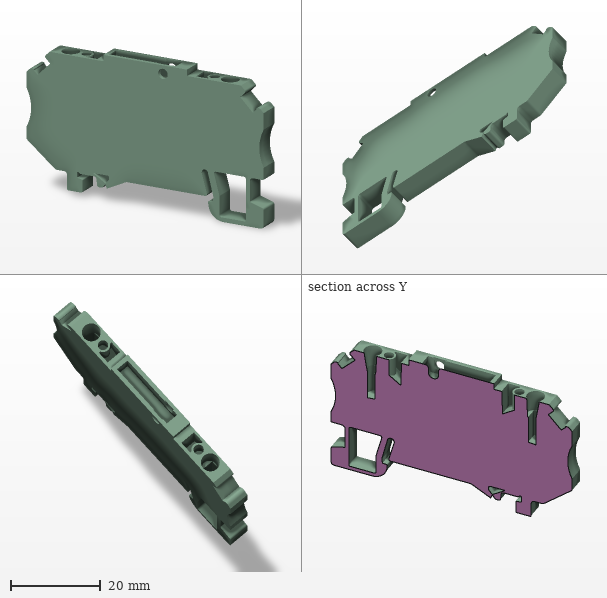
import cadquery as cq
import math


LENGTH = 60.0
THICKNESS = 5.0
HEIGHT = 34.5

MIRROR_X = LENGTH / 2
SHOULDER_Z = 33.0
RAISED_WIDTH = 21.2
BASE_Z = 5.42
GRIP_RADIUS = 9.75
GRIP_Z = 19.0
GRIP_DEPTH = 1.1

PIN_HOLE_DIAMETER = 2.4
PIN_X = 34.5
PIN_Z = 32.5
WINDOW_LEFT = 20.45
WINDOW_WIDTH = 3.06
WINDOW_RIGHT = 37.3
WINDOW_END_RADIUS = 3.0
WINDOW_FLOOR_Z = 30.4
LEAD_IN_WIDTH = 3.46
LEAD_IN_FLARE = 0.8

OPENING_Y = 0.1
WIRE_OFFSET = 20.2
WIRE_MOUTH_RADIUS = 2.1
WIRE_THROAT_RADIUS = 1.75
WIRE_THROAT_SHIFT = 0.3
FUNNEL_DEPTH = 5.0
WIRE_DEPTH = 12.0
WIRE_OUTER_WALL = 1.55
WIRE_INNER_WALL = 1.1
WIRE_WIDTH = 2.95
WIRE_FLOOR_TILT = 5.0
TEST_OFFSET = 16.22
TEST_DIAMETER = 2.3
TEST_DEPTH = 4.0
VALLEY_OUTER_TILT = 25.0
VALLEY_INNER_TILT = 40.0
COLLAR_RADIUS = 1.6
TOOL_NEAR = 12.5
TOOL_FAR = 15.5
TOOL_TAPER = 0.2
TOOL_WIDTH = 3.72
TOOL_DEPTH = 6.0
FLOOR_TILT = 33.0


def rounded_outline(corners):
    """Closed XZ outline through (x, z, radius) corners, each rounded by a tangent arc."""
    path = None
    count = len(corners)
    for index, (x, z, radius) in enumerate(corners):
        corner = cq.Vector(x, z, 0)
        before = cq.Vector(*corners[index - 1][:2], 0)
        after = cq.Vector(*corners[(index + 1) % count][:2], 0)
        to_before = (before - corner).normalized()
        to_after = (after - corner).normalized()
        half_angle = to_before.getAngle(to_after) / 2
        setback = radius / math.tan(half_angle)
        start = corner + to_before * setback
        if path is None:
            path = cq.Workplane("XZ").moveTo(start.x, start.y)
        else:
            path = path.lineTo(start.x, start.y)
        if radius > 0:
            bisector = (to_before + to_after).normalized()
            middle = corner + bisector * (radius / math.sin(half_angle) - radius)
            end = corner + to_after * setback
            path = path.threePointArc((middle.x, middle.y), (end.x, end.y))
    return path.close()


def through(outline, width=THICKNESS, center_y=0.0):
    """Extrude an XZ outline over a width centred on center_y."""
    return outline.extrude(width / 2, both=True).translate((0, center_y, 0))


def upper_left_corners():
    """Left half of the top, from the end face up to the raised centre."""
    raised_x = MIRROR_X - RAISED_WIDTH / 2
    return [
        (0, 27.4, 0),
        (1.21, 28.61, 0.9),
        (1.84, 28.25, 0),
        (1.84, 27.96, 0),
        (2.75, 27.05, 0),
        (5.92, 30.22, 0),
        (4.45, 31.69, 0.5),
        (5.76, SHOULDER_Z, 0),
        (raised_x, SHOULDER_Z, 0),
        (raised_x, HEIGHT, 0),
    ]


def housing():
    left_top = upper_left_corners()
    right_top = [(LENGTH - x, z, radius) for x, z, radius in reversed(left_top)]
    clip_foot = [
        (LENGTH, 11.58, 0.2),
        (56.5, 11.58, 0.8),
        (56.5, 5.85, 0.2),
        (LENGTH, 4.85, 0.5),
        (LENGTH, 0, 0.8),
        (46.35, 0, 3.85),
        (45.9, 4.36, 0.25),
        (47.1, 4.36, 0),
        (47.3, 5.4, 0.3),
        (45.72, 11.64, 0.78),
        (44.06, 11.64, 0.78),
        (45.8, BASE_Z, 0.5),
    ]
    spring_tab = [
        (25.2, BASE_Z, 1.0),
        (20.3, 3.05, 0),
        (19.9, 4.05, 0),
        (19.2, 3.07, 0.4),
        (17.8, 3.07, 0.5),
        (17.65, BASE_Z, 0.7),
    ]
    fixed_foot = [
        (13.5, BASE_Z, 0),
        (13.1, 5.8, 0),
        (12.7, 5.8, 0.2),
        (12.7, 4.4, 0),
        (14.14, 4.15, 0.25),
        (14.14, 1.05, 0.4),
        (10.2, 1.05, 0.4),
        (10.2, BASE_Z, 0.8),
        (7.3, BASE_Z, 0.8),
        (0, 11.4, 0),
    ]
    body = through(rounded_outline(left_top + right_top + clip_foot + spring_tab + fixed_foot))

    left_grip_x = GRIP_DEPTH - GRIP_RADIUS
    for grip_x in (left_grip_x, LENGTH - left_grip_x):
        body = body.cut(through(cq.Workplane("XZ").center(grip_x, GRIP_Z).circle(GRIP_RADIUS)))
    return body


def clip_window():
    return through(rounded_outline([
        (47.3, 11.58, 0.4),
        (55.5, 11.58, 0.5),
        (55.5, 1.05, 0.3),
        (48.8, 1.05, 0.5),
        (48.8, 6.0, 0.5),
    ]))


def spring_tab_window():
    return through(rounded_outline([
        (16.85, 6.17, 0),
        (20.85, 6.17, 0.45),
        (20.85, 5.3, 0.3),
        (19.9, 4.25, 0),
    ]))


def marker_window():
    """Slot in the raised centre with a hollowed end, lead-in grooves and a cross hole."""
    floor_drop = PIN_Z - WINDOW_FLOOR_Z
    floor_end_x = PIN_X + math.sqrt(WINDOW_END_RADIUS**2 - floor_drop**2)
    hollow_top_z = PIN_Z + math.sqrt(WINDOW_END_RADIUS**2 - (WINDOW_RIGHT - PIN_X)**2)
    slot = through(
        cq.Workplane("XZ")
        .moveTo(WINDOW_LEFT, HEIGHT)
        .lineTo(WINDOW_LEFT, WINDOW_FLOOR_Z)
        .lineTo(floor_end_x, WINDOW_FLOOR_Z)
        .threePointArc((PIN_X + WINDOW_END_RADIUS, PIN_Z), (WINDOW_RIGHT, hollow_top_z))
        .lineTo(WINDOW_RIGHT, HEIGHT)
        .close(),
        WINDOW_WIDTH,
    )
    pin_radius = PIN_HOLE_DIAMETER / 2
    mouth = pin_radius + LEAD_IN_FLARE
    flare_z = HEIGHT - LEAD_IN_FLARE
    lead_in = through(
        cq.Workplane("XZ")
        .moveTo(PIN_X - mouth, HEIGHT)
        .radiusArc((PIN_X - pin_radius, flare_z), LEAD_IN_FLARE)
        .lineTo(PIN_X - pin_radius, PIN_Z)
        .lineTo(PIN_X + pin_radius, PIN_Z)
        .lineTo(PIN_X + pin_radius, flare_z)
        .radiusArc((PIN_X + mouth, HEIGHT), LEAD_IN_FLARE)
        .close(),
        LEAD_IN_WIDTH,
    )
    pin_hole = through(cq.Workplane("XZ").center(PIN_X, PIN_Z).circle(pin_radius))
    return slot.union(lead_in).union(pin_hole)


def shoulder_circle(offset, radius):
    """Circle on the shoulder at a distance from the mirror plane, towards +X."""
    return (
        cq.Workplane("XY", origin=(MIRROR_X + offset, OPENING_Y, SHOULDER_Z))
        .circle(radius)
    )


def wire_entry():
    """Round funnel running into a squared wire chamber with a slightly tilted floor."""
    funnel = (
        shoulder_circle(WIRE_OFFSET, WIRE_MOUTH_RADIUS)
        .workplane(offset=-FUNNEL_DEPTH)
        .center(-WIRE_THROAT_SHIFT, 0)
        .circle(WIRE_THROAT_RADIUS)
        .loft(ruled=True)
    )
    inner_x = MIRROR_X + WIRE_OFFSET - WIRE_INNER_WALL
    outer_x = MIRROR_X + WIRE_OFFSET + WIRE_OUTER_WALL
    floor_z = SHOULDER_Z - WIRE_DEPTH
    floor_rise = (outer_x - inner_x) * math.tan(math.radians(WIRE_FLOOR_TILT))
    chamber_outline = cq.Workplane("XZ").polyline([
        (inner_x, SHOULDER_Z),
        (inner_x, floor_z + floor_rise),
        (outer_x, floor_z),
        (outer_x, SHOULDER_Z),
    ]).close()
    chamber = through(chamber_outline, WIRE_WIDTH, OPENING_Y)
    throat = shoulder_circle(WIRE_OFFSET - WIRE_THROAT_SHIFT, WIRE_THROAT_RADIUS).extrude(-WIRE_DEPTH)
    return funnel.union(chamber.intersect(throat))


def tool_pocket():
    """Tool slot with a sloping floor, leaving a collar around the test hole."""
    near_x = MIRROR_X + TOOL_NEAR
    far_x = MIRROR_X + TOOL_FAR
    deep_z = SHOULDER_Z - TOOL_DEPTH
    floor_rise = (TOOL_FAR - TOOL_NEAR - TOOL_TAPER) * math.tan(math.radians(FLOOR_TILT))
    outline = cq.Workplane("XZ").polyline([
        (near_x, SHOULDER_Z),
        (near_x + TOOL_TAPER, deep_z),
        (far_x, deep_z + floor_rise),
        (far_x, SHOULDER_Z),
    ]).close()
    collar = shoulder_circle(TEST_OFFSET, COLLAR_RADIUS).extrude(-TOOL_DEPTH)
    return through(outline, TOOL_WIDTH, OPENING_Y).cut(collar)


def test_hole(axis_x, left_rise, right_rise):
    """Test hole with two floor halves rising away from the axis at the given angles."""
    radius = TEST_DIAMETER / 2
    left_x = axis_x - radius
    right_x = axis_x + radius
    axis_z = SHOULDER_Z - TEST_DEPTH
    outline = cq.Workplane("XZ").polyline([
        (left_x, SHOULDER_Z),
        (left_x, axis_z + radius * math.tan(math.radians(left_rise))),
        (axis_x, axis_z),
        (right_x, axis_z + radius * math.tan(math.radians(right_rise))),
        (right_x, SHOULDER_Z),
    ]).close()
    bore = shoulder_circle(axis_x - MIRROR_X, radius).extrude(-TOOL_DEPTH)
    return through(outline).intersect(bore)


def add_shoulder_openings(body):
    for cutter in (wire_entry(), tool_pocket()):
        body = body.cut(cutter).cut(cutter.mirror("YZ", (MIRROR_X, 0, 0)))
    left_hole = test_hole(MIRROR_X - TEST_OFFSET, VALLEY_OUTER_TILT, VALLEY_INNER_TILT)
    right_hole = test_hole(MIRROR_X + TEST_OFFSET, -FLOOR_TILT, 0)
    return body.cut(left_hole).cut(right_hole)


result = housing()
for opening in (clip_window(), spring_tab_window(), marker_window()):
    result = result.cut(opening)
result = add_shoulder_openings(result)